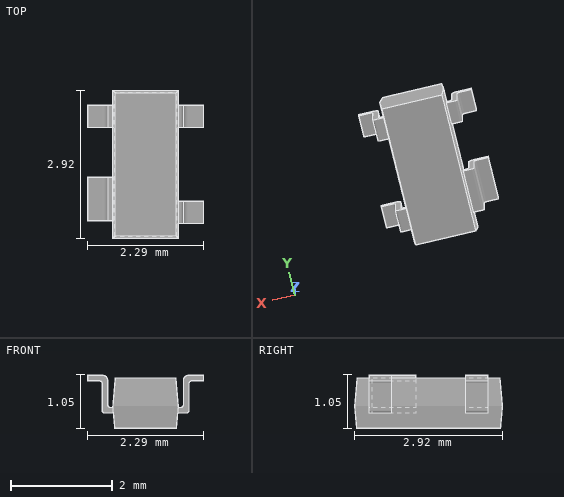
import cadquery as cq
import math

body_length = 2.92
body_width = 1.296
body_height = 1.0
parting_height = 0.438
draft_angle = 5.0

lead_span = 2.29
lead_top = 1.05
lead_thickness = 0.115
wall_outer_x = 0.858
foot_top = 0.418
top_bend_radius = 0.102
small_bend_radius = 0.05

narrow_lead_width = 0.445
wide_lead_width = 0.865
lead_row_y = 0.95
wide_lead_y = -0.683

LEFT = -1
RIGHT = 1


def body_half(height):
    """Tapered half rising from the parting plane, or dropping for a negative height."""
    inset = abs(height) * math.tan(math.radians(draft_angle))
    return (
        cq.Workplane("XY", origin=(0, 0, parting_height))
        .rect(body_width, body_length)
        .workplane(offset=height)
        .rect(body_width - 2 * inset, body_length - 2 * inset)
        .loft(ruled=True)
    )


def lead(side, center_y, width):
    """Bent strip on the chosen X side, with its foot ending inside the body."""
    tip_x = side * lead_span / 2
    outer_x = side * wall_outer_x
    inner_x = side * (wall_outer_x - lead_thickness)
    foot_end_x = side * (body_width / 2 - lead_thickness)
    tip_bottom = lead_top - lead_thickness
    foot_bottom = foot_top - lead_thickness
    strip = (
        cq.Workplane("XZ", origin=(0, center_y, 0))
        .polyline([
            (tip_x, lead_top),
            (inner_x, lead_top),
            (inner_x, foot_top),
            (foot_end_x, foot_top),
            (foot_end_x, foot_bottom),
            (outer_x, foot_bottom),
            (outer_x, tip_bottom),
            (tip_x, tip_bottom),
        ])
        .close()
        .extrude(width / 2, both=True)
    )

    bends = [
        (inner_x, lead_top, top_bend_radius),
        (inner_x, foot_top, small_bend_radius),
        (outer_x, foot_bottom, small_bend_radius),
        (outer_x, tip_bottom, small_bend_radius),
    ]
    for x, z, radius in bends:
        corner = cq.selectors.NearestToPointSelector((x, center_y, z))
        strip = strip.edges("|Y").edges(corner).fillet(radius)
    return strip


result = body_half(body_height - parting_height).union(body_half(-parting_height))

leads = [
    (LEFT, lead_row_y, narrow_lead_width),
    (LEFT, wide_lead_y, wide_lead_width),
    (RIGHT, lead_row_y, narrow_lead_width),
    (RIGHT, -lead_row_y, narrow_lead_width),
]
for side, center_y, width in leads:
    result = result.union(lead(side, center_y, width))